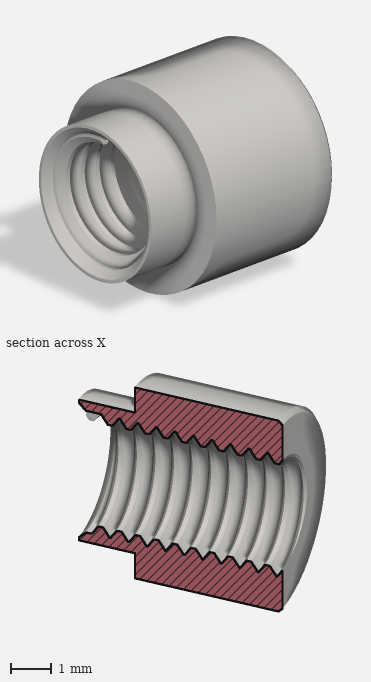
import cadquery as cq

BODY_DIAMETER = 5.56
BODY_LENGTH = 4.005
BODY_CHAMFER = 0.12
SPIGOT_DIAMETER = 4.105
SPIGOT_LENGTH = 1.52
TOTAL_LENGTH = BODY_LENGTH + SPIGOT_LENGTH

THREAD_MAJOR_DIAMETER = 3.52
THREAD_MINOR_DIAMETER = 3
THREAD_PITCH = 0.5
THREAD_CREST_WIDTH = THREAD_PITCH / 4
THREAD_ROOT_GAP = 0.01
BORE_CHAMFER = 0.2
THREAD_LEAD_IN = 0.095
ROOT_OVERLAP = 0.045
FUSE_TOLERANCE = 0.001


def make_sleeve():
    """Stepped sleeve along +Z, with its spigot face at Z = 0."""
    spigot = cq.Workplane("XY").circle(SPIGOT_DIAMETER / 2).extrude(SPIGOT_LENGTH)
    body = (
        cq.Workplane("XY", origin=(0, 0, SPIGOT_LENGTH))
        .circle(BODY_DIAMETER / 2)
        .extrude(BODY_LENGTH)
        .faces(">Z")
        .edges()
        .chamfer(BODY_CHAMFER)
    )
    bore = cq.Workplane("XY").circle(THREAD_MAJOR_DIAMETER / 2).extrude(TOTAL_LENGTH)
    bore_mouth = cq.selectors.RadiusNthSelector(0)
    return spigot.union(body).cut(bore).faces("<Z").edges(bore_mouth).chamfer(BORE_CHAMFER)


def make_thread():
    """Trapezoidal helical ridge, trimmed flat at both ends of the threaded length."""
    crest_radius = THREAD_MINOR_DIAMETER / 2
    wall_radius = THREAD_MAJOR_DIAMETER / 2
    half_base = (THREAD_PITCH - THREAD_ROOT_GAP) / 2
    half_crest = THREAD_CREST_WIDTH / 2
    ridge_start = BORE_CHAMFER - THREAD_LEAD_IN + half_base
    ridge_length = TOTAL_LENGTH + THREAD_PITCH - ridge_start

    path = cq.Wire.makeHelix(
        THREAD_PITCH, ridge_length, crest_radius, cq.Vector(0, 0, ridge_start), lefthand=True
    )
    ridge = (
        cq.Workplane("XZ")
        .polyline([
            (crest_radius, ridge_start - half_crest),
            (wall_radius, ridge_start - half_base),
            (wall_radius + ROOT_OVERLAP, ridge_start - half_base),
            (wall_radius + ROOT_OVERLAP, ridge_start + half_base),
            (wall_radius, ridge_start + half_base),
            (crest_radius, ridge_start + half_crest),
        ])
        .close()
        .sweep(cq.Workplane(path), isFrenet=True)
    )
    threaded_length = (
        cq.Workplane("XY", origin=(0, 0, BORE_CHAMFER))
        .circle(BODY_DIAMETER / 2)
        .extrude(TOTAL_LENGTH - BORE_CHAMFER)
    )
    return ridge.intersect(threaded_length).rotate((0, 0, 0), (0, 0, 1), -90)


result = make_sleeve().union(make_thread(), tol=FUSE_TOLERANCE).rotate((0, 0, 0), (1, 0, 0), -90)